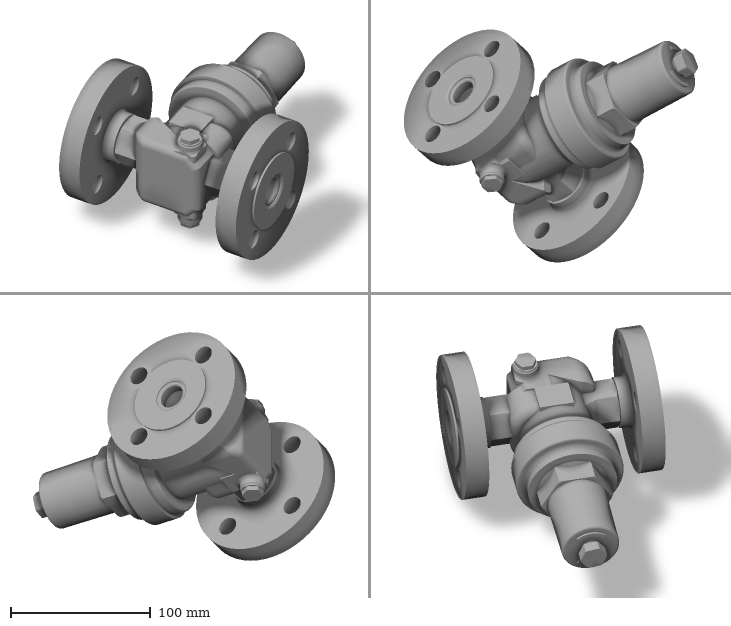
import cadquery as cq
import math


FLANGE_DIA = 105.0
FLANGE_OUTER_X = 73.0
FLANGE_INNER_X = 56.2
RAISED_FACE_DIA = 58.0
RAISED_FACE_X = 74.5
BOLT_CIRCLE_DIA = 75.0
BOLT_HOLE_DIA = 14.0
BOLT_COUNT = 4
COLLAR_DIA = 37.0
COLLAR_INNER_X = 47.7
NECK_FILLET_X = 52.7
NECK_ARC_X = 55.0
NECK_ARC_RADIUS = 19.0
NECK_BASE_RADIUS = 20.0

MOUTH_DIA = 26.9
SOCKET_DIA = 23.6
SEAT_DIA = 20.0
BORE_DIA = 18.0
MOUTH_DEPTH = 1.0
SEAT_DEPTH = 1.8
BORE_START_DEPTH = 2.6
BORE_DEPTH = 10.0

PIPE_HEX_RADIUS = 18.4
PIPE_HEX_CHAMFER_LENGTH = 1.2
PIPE_HEX_CHAMFER_DEPTH = 2.6
PIPE_ROOT_START_X = 31.5
PIPE_ROOT_END_X = 22.2
PIPE_ROOT_STRETCH = 1.4

BODY_DIA = 55.0
BARREL_BOTTOM_Y = -16.2
BODY_BOTTOM_Y = -28.3
BODY_TOP_Y = 40.5
BODY_RIGHT_X = 27.5
CHAMBER_HALF_HEIGHT = 28.3
CHAMBER_TOP_Y = 0.8
CHAMBER_LEFT_CORNER = 13.1
CHAMBER_RIGHT_CORNER = 9.0
CHAMBER_EDGE_FILLET = 5.3
LEFT_END_X = -33.1
LEFT_TOP_Y = 1.6
LEFT_TOP_RADIUS = 4.0
LEFT_SIDE_Y = -7.0
LEFT_KNEE_X = -28.0
LEFT_KNEE_Y = -20.0
LEFT_FOOT_X = -18.5
LEFT_FOOT_FILLET = 6.0
LEFT_SHOULDER_X = -21.8
LEFT_VALLEY_Y = -11.0
OUTLET_END_X = 33.0
OUTLET_TOP_Y = 21.6
OUTLET_BOTTOM_Y = -5.0
OUTLET_HALF_HEIGHT = 26.7
OUTLET_CORNER = 16.2
OUTLET_EDGE_FILLET = 7.0

PAD_WIDTH = 25.0
PAD_LENGTH = 20.6
PAD_CENTER_Y = 10.7
PAD_TOP_Z = 28.7

PORT_X = 15.0
PORT_Y = -17.4
PORT_DIA = 18.0
PORT_TOP_Z = 34.3
PORT_LIP_DIA = 16.5
PORT_LIP_TOP_Z = 36.2
PORT_FLARE_DIA = 23.5
PLUG_DIA = 15.0
PLUG_FLATS = 13.5
PLUG_TOP_Z = 39.5

SHOULDER_DIA = 73.0
SHOULDER_FILLET = 1.5
NUT_DIA = 78.8
NUT_BOTTOM_Y = 48.9
NUT_TOP_Y = 67.0
NUT_FILLET = 1.6
COVER_DIA = 64.6
COVER_RIM_DIA = 65.0
COVER_COVE_RADIUS = 3.0
COVER_RIM_BOTTOM_Y = 73.5
COVER_TOP_Y = 75.8
COVER_HEX_FLATS = 45.7
COVER_HEX_TOP_Y = 91.1
COVER_HEX_CHAMFER = 1.0
HEX_FOOT_BASE_DIA = 51.3
HEX_FOOT_TOP_DIA = 44.8
HEX_FOOT_TOP_Y = 78.4

CAP_BASE_DIA = 43.5
CAP_TOP_DIA = 42.0
CAP_TOP_Y = 139.0
CAP_FILLET = 1.8
LUG_OUTER_RADIUS = 16.0
LUG_INNER_RADIUS = 13.1
LUG_HALF_ANGLE = 41.0
LUG_HEIGHT = 1.5

SCREW_HEAD_DIA = 19.4
SCREW_HEX_FLATS = 17.4
SCREW_HEX_TURN = 6.0
SCREW_HEX_BOTTOM_Y = 141.8
SCREW_TOP_Y = 149.5
SCREW_NECK_DIA = 15.0


def y_disc(diameter, bottom_y, top_y):
    """Cylinder on the spring axis."""
    return (
        cq.Workplane("XZ", origin=(0, bottom_y, 0))
        .circle(diameter / 2)
        .extrude(bottom_y - top_y)
    )


def y_hexagon(across_flats, bottom_y, top_y, turn=0.0):
    """Hexagonal prism on the spring axis, with two corners on X before it is turned."""
    prism = (
        cq.Workplane("XZ", origin=(0, bottom_y, 0))
        .polygon(6, across_flats / math.cos(math.pi / 6))
        .extrude(bottom_y - top_y)
    )
    return prism.rotate((0, 0, 0), (0, 1, 0), turn)


def make_flange():
    """Flange, collar and neck fillet on the +X side."""
    collar_radius = COLLAR_DIA / 2
    profile = (
        cq.Workplane("XY")
        .moveTo(COLLAR_INNER_X, 0)
        .lineTo(COLLAR_INNER_X, collar_radius)
        .lineTo(NECK_FILLET_X, collar_radius)
        .threePointArc(
            (NECK_ARC_X, NECK_ARC_RADIUS),
            (FLANGE_INNER_X, NECK_BASE_RADIUS),
        )
        .lineTo(FLANGE_INNER_X, FLANGE_DIA / 2)
        .lineTo(FLANGE_OUTER_X, FLANGE_DIA / 2)
        .lineTo(FLANGE_OUTER_X, RAISED_FACE_DIA / 2)
        .lineTo(RAISED_FACE_X, RAISED_FACE_DIA / 2)
        .lineTo(RAISED_FACE_X, 0)
        .close()
    )
    flange = profile.revolve(360, (0, 0, 0), (1, 0, 0))
    bolt_holes = (
        cq.Workplane("YZ", origin=(FLANGE_INNER_X, 0, 0))
        .polarArray(BOLT_CIRCLE_DIA / 2, 45, 360, BOLT_COUNT)
        .circle(BOLT_HOLE_DIA / 2)
        .extrude(FLANGE_OUTER_X - FLANGE_INNER_X)
    )
    return flange.cut(bolt_holes)


def make_bore():
    """Stepped blind bore entering from the +X side."""
    return (
        cq.Workplane("XY")
        .moveTo(RAISED_FACE_X - BORE_DEPTH, 0)
        .lineTo(RAISED_FACE_X - BORE_DEPTH, BORE_DIA / 2)
        .lineTo(RAISED_FACE_X - BORE_START_DEPTH, BORE_DIA / 2)
        .lineTo(RAISED_FACE_X - SEAT_DEPTH, SEAT_DIA / 2)
        .lineTo(RAISED_FACE_X - SEAT_DEPTH, SOCKET_DIA / 2)
        .lineTo(RAISED_FACE_X - MOUTH_DEPTH, SOCKET_DIA / 2)
        .lineTo(RAISED_FACE_X, MOUTH_DIA / 2)
        .lineTo(RAISED_FACE_X, 0)
        .close()
        .revolve(360, (0, 0, 0), (1, 0, 0))
    )


def make_pipe_hexagon():
    """Hexagonal bar along X with flats on top and bottom and chamfered corners at its ends."""
    chamfer_start_x = COLLAR_INNER_X - PIPE_HEX_CHAMFER_LENGTH
    end_radius = PIPE_HEX_RADIUS - PIPE_HEX_CHAMFER_DEPTH
    bar = (
        cq.Workplane("YZ")
        .polygon(6, 2 * PIPE_HEX_RADIUS)
        .extrude(COLLAR_INNER_X, both=True)
    )
    envelope = (
        cq.Workplane("XY")
        .moveTo(-COLLAR_INNER_X, 0)
        .lineTo(-COLLAR_INNER_X, end_radius)
        .lineTo(-chamfer_start_x, PIPE_HEX_RADIUS)
        .lineTo(chamfer_start_x, PIPE_HEX_RADIUS)
        .lineTo(COLLAR_INNER_X, end_radius)
        .lineTo(COLLAR_INNER_X, 0)
        .close()
        .revolve(360, (0, 0, 0), (1, 0, 0))
    )
    return bar.intersect(envelope)


def make_pipe_root():
    """Flare on the +X side where the upper half of the hexagonal bar widens into the barrel."""

    def upper_half_points(stretch):
        corner_y = PIPE_HEX_RADIUS * stretch
        flat_z = PIPE_HEX_RADIUS * math.cos(math.pi / 6)
        return [
            (0, -flat_z),
            (corner_y / 2, -flat_z),
            (corner_y, 0),
            (corner_y / 2, flat_z),
            (0, flat_z),
        ]

    return (
        cq.Workplane("YZ", origin=(PIPE_ROOT_END_X, 0, 0))
        .polyline(upper_half_points(PIPE_ROOT_STRETCH))
        .close()
        .workplane(offset=PIPE_ROOT_START_X - PIPE_ROOT_END_X)
        .polyline(upper_half_points(1))
        .close()
        .loft(ruled=True)
    )


def make_inlet_chamber():
    """Lower cast chamber, drawn out to -X around the inlet."""
    side_shape = (
        cq.Workplane("XY")
        .moveTo(BODY_RIGHT_X, BODY_BOTTOM_Y)
        .lineTo(LEFT_FOOT_X, BODY_BOTTOM_Y)
        .threePointArc((LEFT_KNEE_X, LEFT_KNEE_Y), (LEFT_END_X, LEFT_SIDE_Y))
        .lineTo(LEFT_END_X, LEFT_TOP_Y - LEFT_TOP_RADIUS)
        .radiusArc((LEFT_END_X + LEFT_TOP_RADIUS, LEFT_TOP_Y), LEFT_TOP_RADIUS)
        .lineTo(LEFT_SHOULDER_X, LEFT_TOP_Y)
        .lineTo(0, LEFT_VALLEY_Y)
        .lineTo(0, CHAMBER_TOP_Y)
        .lineTo(BODY_RIGHT_X, CHAMBER_TOP_Y)
        .close()
        .extrude(CHAMBER_HALF_HEIGHT, both=True)
        .edges("|Y and >X")
        .chamfer(CHAMBER_RIGHT_CORNER)
    )
    foot_edge = cq.selectors.NearestToPointSelector((LEFT_FOOT_X, BODY_BOTTOM_Y, 0))
    side_shape = side_shape.edges("|Z").edges(foot_edge).fillet(LEFT_FOOT_FILLET)
    bottom_edges_right_of_center = cq.selectors.BoxSelector(
        (0, 1.1 * BODY_BOTTOM_Y, -2 * CHAMBER_HALF_HEIGHT),
        (2 * BODY_RIGHT_X, 0.9 * BODY_BOTTOM_Y, 2 * CHAMBER_HALF_HEIGHT),
    )
    side_shape = side_shape.edges(bottom_edges_right_of_center).fillet(CHAMBER_EDGE_FILLET)
    plan_shape = (
        cq.Workplane("XZ")
        .moveTo((LEFT_END_X + BODY_RIGHT_X) / 2, 0)
        .rect(BODY_RIGHT_X - LEFT_END_X, 2 * CHAMBER_HALF_HEIGHT)
        .extrude(-BODY_BOTTOM_Y, both=True)
        .edges("|Y and <X")
        .fillet(CHAMBER_LEFT_CORNER)
    )
    return side_shape.intersect(plan_shape)


def make_outlet_chamber():
    """Upper cast chamber around the outlet, with rounded corners on its +X end."""
    block = (
        cq.Workplane("XY")
        .moveTo(OUTLET_END_X / 2, (OUTLET_TOP_Y + OUTLET_BOTTOM_Y) / 2)
        .rect(OUTLET_END_X, OUTLET_TOP_Y - OUTLET_BOTTOM_Y)
        .extrude(OUTLET_HALF_HEIGHT, both=True)
        .edges("|Y and >X")
        .fillet(OUTLET_CORNER)
    )
    return block.faces(">Y").edges("not <X").fillet(OUTLET_EDGE_FILLET)


def make_label_pad():
    """Raised flat pad on the upper side of the barrel."""
    return (
        cq.Workplane("XY")
        .moveTo(0, PAD_CENTER_Y)
        .rect(PAD_WIDTH, PAD_LENGTH)
        .extrude(PAD_TOP_Z)
    )


def make_gauge_ports():
    """Port that runs through the chamber, with a boss and a hexagonal plug at both ends."""
    boss_radius = PORT_DIA / 2
    lip_radius = PORT_LIP_DIA / 2
    flare_radius = PORT_FLARE_DIA / 2
    flare = flare_radius - boss_radius
    upper_boss = (
        cq.Workplane("XZ")
        .lineTo(flare_radius, 0)
        .lineTo(flare_radius, CHAMBER_HALF_HEIGHT)
        .radiusArc((boss_radius, CHAMBER_HALF_HEIGHT + flare), flare)
        .lineTo(boss_radius, PORT_TOP_Z)
        .lineTo(lip_radius, PORT_TOP_Z + boss_radius - lip_radius)
        .lineTo(lip_radius, PORT_LIP_TOP_Z)
        .lineTo(0, PORT_LIP_TOP_Z)
        .close()
        .revolve(360, (0, 0, 0), (0, 1, 0))
    )
    flare_limit = (
        cq.Workplane("XY")
        .moveTo(-flare_radius, -boss_radius)
        .lineTo(boss_radius, -boss_radius)
        .lineTo(boss_radius, flare_radius)
        .lineTo(-flare_radius, flare_radius)
        .close()
        .extrude(PLUG_TOP_Z)
    )
    plug = (
        cq.Workplane("XY")
        .polygon(6, PLUG_FLATS / math.cos(math.pi / 6))
        .extrude(PLUG_TOP_Z)
        .intersect(cq.Workplane("XY").circle(PLUG_DIA / 2).extrude(PLUG_TOP_Z))
    )
    upper_port = upper_boss.intersect(flare_limit).union(plug)
    ports = upper_port.union(upper_port.mirror("XY"))
    return ports.translate((PORT_X, PORT_Y, 0))


def make_barrel():
    """Round barrel of the body with the shoulder under the union nut."""
    barrel = y_disc(BODY_DIA, BARREL_BOTTOM_Y, BODY_TOP_Y)
    shoulder = y_disc(SHOULDER_DIA, BODY_TOP_Y, NUT_BOTTOM_Y)
    return barrel.union(shoulder.faces("<Y").edges().fillet(SHOULDER_FILLET))


def make_bonnet():
    """Union nut, rimmed cover, flared foot and the cover's hexagon."""
    nut = y_disc(NUT_DIA, NUT_BOTTOM_Y, NUT_TOP_Y).faces(">Y").edges().fillet(NUT_FILLET)
    cover_radius = COVER_DIA / 2
    rim_radius = COVER_RIM_DIA / 2
    cover = (
        cq.Workplane("XY")
        .moveTo(0, NUT_TOP_Y)
        .lineTo(cover_radius + COVER_COVE_RADIUS, NUT_TOP_Y)
        .radiusArc((cover_radius, NUT_TOP_Y + COVER_COVE_RADIUS), COVER_COVE_RADIUS)
        .lineTo(cover_radius, COVER_RIM_BOTTOM_Y)
        .lineTo(rim_radius, COVER_RIM_BOTTOM_Y)
        .lineTo(rim_radius, COVER_TOP_Y)
        .lineTo(HEX_FOOT_BASE_DIA / 2, COVER_TOP_Y)
        .lineTo(HEX_FOOT_TOP_DIA / 2, HEX_FOOT_TOP_Y)
        .lineTo(0, HEX_FOOT_TOP_Y)
        .close()
        .revolve(360, (0, 0, 0), (0, 1, 0))
    )
    hexagon = y_hexagon(COVER_HEX_FLATS, COVER_TOP_Y, COVER_HEX_TOP_Y)
    corner_dia = COVER_HEX_FLATS / math.cos(math.pi / 6)
    hexagon_envelope = (
        y_disc(corner_dia, COVER_TOP_Y, COVER_HEX_TOP_Y)
        .faces(">Y")
        .edges()
        .chamfer(COVER_HEX_CHAMFER)
    )
    return nut.union(cover).union(hexagon.intersect(hexagon_envelope))


def make_cap():
    """Tapered spring cap with two arc-shaped lugs on its end."""
    shell = (
        cq.Workplane("XY")
        .moveTo(0, COVER_HEX_TOP_Y)
        .lineTo(CAP_BASE_DIA / 2, COVER_HEX_TOP_Y)
        .lineTo(CAP_TOP_DIA / 2, CAP_TOP_Y)
        .lineTo(0, CAP_TOP_Y)
        .close()
        .revolve(360, (0, 0, 0), (0, 1, 0))
        .faces(">Y")
        .edges()
        .fillet(CAP_FILLET)
    )
    ring = y_disc(2 * LUG_OUTER_RADIUS, CAP_TOP_Y, CAP_TOP_Y + LUG_HEIGHT)
    ring = ring.cut(y_disc(2 * LUG_INNER_RADIUS, CAP_TOP_Y, CAP_TOP_Y + LUG_HEIGHT))
    wedge_z = 2 * LUG_OUTER_RADIUS
    wedge_x = wedge_z * math.tan(math.radians(LUG_HALF_ANGLE))
    for side in (1, -1):
        wedge = (
            cq.Workplane("XZ", origin=(0, CAP_TOP_Y, 0))
            .polyline([(0, 0), (wedge_x, side * wedge_z), (-wedge_x, side * wedge_z)])
            .close()
            .extrude(-LUG_HEIGHT)
        )
        shell = shell.union(ring.intersect(wedge))
    return shell


def make_screw():
    """Hexagonal head of the adjusting screw on a round neck."""
    neck = y_disc(SCREW_NECK_DIA, CAP_TOP_Y, SCREW_HEX_BOTTOM_Y)
    head = y_hexagon(SCREW_HEX_FLATS, SCREW_HEX_BOTTOM_Y, SCREW_TOP_Y, SCREW_HEX_TURN)
    return neck.union(head.intersect(y_disc(SCREW_HEAD_DIA, SCREW_HEX_BOTTOM_Y, SCREW_TOP_Y)))


pipe_root = make_pipe_root()
flange = make_flange()
bore = make_bore()

result = make_barrel()
for feature in (
    make_inlet_chamber(),
    make_outlet_chamber(),
    make_pipe_hexagon(),
    pipe_root,
    pipe_root.mirror("YZ"),
    make_label_pad(),
    make_gauge_ports(),
    make_bonnet(),
    make_cap(),
    make_screw(),
    flange,
    flange.mirror("YZ"),
):
    result = result.union(feature)
result = result.cut(bore).cut(bore.mirror("YZ"))